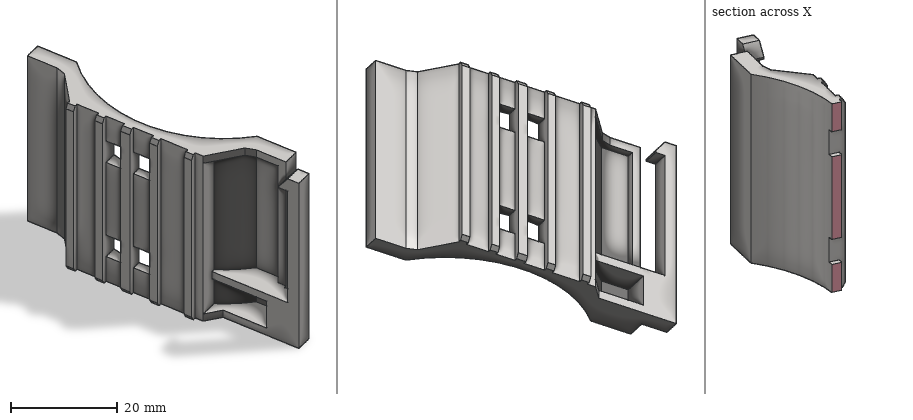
import cadquery as cq

height = 40.0
plate_width = 58.0
plate_thickness = 3.5
mid_x = plate_width / 2

trough_half_width = 20.25
trough_depth = 8.6
trough_radius = (trough_half_width**2 + trough_depth**2) / (2 * trough_depth)
trough_axis_y = trough_radius - trough_depth
base_depth = 10.5
base_half_width = 15.0
shoulder_half_width = 20.25
shoulder_depth = 4.2
flange_half_width = 22.35

ribs = [(14.0, 1.7), (20.5, 1.7), (26.3, 2.05), (32.8, 1.7), (40.5, 1.7)]
rib_height = 1.25
rib_chamfer_y = 0.6
rib_chamfer_z = 1.0

window_height = 5.2
window_end_margin = 6.0

frame = 1.75
pocket_left = mid_x + base_half_width
pocket_right = plate_width - frame
pocket_floor_depth = 2.0
pocket_wall = 2.2

latch_right = 63.5
latch_back = 4.0
latch_front = 7.5
foot_height = 10.0
arm_width = 2.5
arm_left = latch_right - arm_width
hook_reach = 2.0
hook_length = 3.05
hook_tip = 0.4


def box(x0, x1, depth0, depth1, z0, z1):
    """Box between two X, two depths in front of the back plane, and two Z."""
    size = (x1 - x0, depth1 - depth0, z1 - z0)
    return cq.Workplane("XY").box(*size, centered=False).translate((x0, -depth1, z0))


def trough_cylinder(radius):
    """Cylinder along Z around the trough axis."""
    return cq.Workplane("XY").center(mid_x, trough_axis_y).circle(radius).extrude(height)


def make_saddle():
    """Plate with a bulge on the front and a round trough in the back."""
    outline = [
        (0, 0),
        (0, -plate_thickness),
        (mid_x - flange_half_width, -plate_thickness),
        (mid_x - shoulder_half_width, -shoulder_depth),
        (mid_x - base_half_width, -base_depth),
        (mid_x + base_half_width, -base_depth),
        (mid_x + shoulder_half_width, -shoulder_depth),
        (mid_x + flange_half_width, -plate_thickness),
        (plate_width, -plate_thickness),
        (plate_width, 0),
    ]
    saddle = cq.Workplane("XY").polyline(outline).close().extrude(height)
    return saddle.cut(trough_cylinder(trough_radius))


def make_rib(x, width):
    """Full-length rib on the base, chamfered at both ends."""
    top = base_depth + rib_height
    profile = [
        (-base_depth, 0),
        (rib_chamfer_y - top, 0),
        (-top, rib_chamfer_z),
        (-top, height - rib_chamfer_z),
        (rib_chamfer_y - top, height),
        (-base_depth, height),
    ]
    return cq.Workplane("YZ").polyline(profile).close().extrude(width).translate((x, 0, 0))


def make_windows():
    """Openings through the base, two in each gap between the middle ribs."""
    windows = cq.Workplane("XY")
    for (left_x, left_width), (right_x, _) in zip(ribs[1:3], ribs[2:4]):
        x0 = left_x + left_width
        for z in (window_end_margin, height - window_end_margin - window_height):
            windows = windows.add(box(x0, right_x, 0, base_depth, z, z + window_height))
    return windows.combine()


def make_pocket(z0, z1):
    """Recess from z0 to z1 whose floor follows the trough wall and then runs flat."""
    recess = box(pocket_left, pocket_right, pocket_floor_depth, base_depth, z0, z1)
    return recess.cut(trough_cylinder(trough_radius + pocket_wall))


def make_foot():
    """Block under the arm, reaching the trough beside the pocket."""
    inner = box(pocket_left, plate_width, 0, latch_front, 0, foot_height)
    inner = inner.cut(trough_cylinder(trough_radius))
    outer = box(plate_width, latch_right, latch_back, latch_front, 0, foot_height)
    return inner.union(outer)


def make_arm():
    """Upright arm with a hook pointing back at the plate edge."""
    hook_x = arm_left - hook_reach
    hook_z = height - hook_length
    outline = [
        (latch_right, 0),
        (latch_right, height),
        (arm_left, height),
        (hook_x, hook_z + hook_tip),
        (hook_x, hook_z),
        (arm_left, hook_z),
        (arm_left, 0),
    ]
    arm = cq.Workplane("XZ").polyline(outline).close().extrude(latch_front - latch_back)
    return arm.translate((0, -latch_back, 0))


result = make_saddle()
for rib_x, rib_width in ribs:
    result = result.union(make_rib(rib_x, rib_width))
result = result.cut(make_windows())
result = result.cut(make_pocket(frame, height - frame))
result = result.union(make_foot()).union(make_arm())
result = result.cut(make_pocket(frame, foot_height - frame))